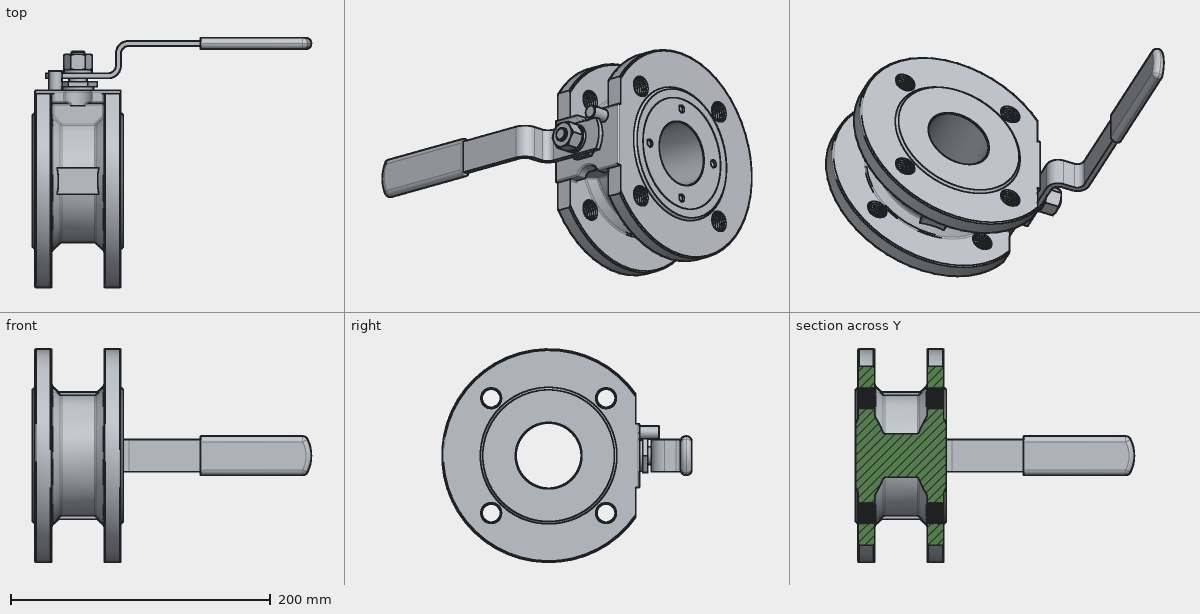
import cadquery as cq
import math


face_to_face = 70.0
flange_face_span = 66.2
flange_gap = 40.2
flange_dia = 164.5
flange_flat_y = 67.3
flange_edge_round = 1.0
seal_face_dia = 101.5
waist_dia = 95.0
cone_dia = 108.0
cone_foot_x = 13.3
root_round = 2.0
bore_dia = 50.0
bore_chamfer = 0.6

pick_margin = 0.2

insert_dia = 88.0
insert_step = 0.2
spanner_hole_dia = 6.0
spanner_hole_depth = 2.0
spanner_circle_dia = 72.0
spanner_hole_count = 4

bolt_circle_dia = 125.0
bolt_hole_count = 4
thread_minor_dia = 14.0
thread_major_dia = 16.0
thread_turns = 6

mount_top_y = 70.0
mount_width = 49.5
mount_thickness = 10.0
mount_round = 1.3
mount_root_round = 1.3
pedestal_width = 38.7
scallop_dia = 23.0
scallop_z = 29.7
scallop_depth = 12.3
plate_height = 20.6
plate_span = 98.2
plate_edge_round = 0.6
stop_pin_dia = 10.3
stop_pin_x = -17.5
stop_pin_z = 17.8
stop_pin_top_y = 85.1
stop_pin_chamfer = 0.5
gland_collar_dia = 24.0
gland_collar_top_y = 72.5
gland_nut_flats = 26.0
gland_nut_top_y = 76.5

stem_dia = 14.0
nut_collar_dia = 22.0
nut_collar_top_y = 85.5
nut_flats = 19.1
nut_top_y = 97.8
stem_tip_dia = 10.3
stem_tip_y = 100.0
stem_tip_chamfer = 0.9

strip_thickness = 4.0
strip_width = 25.0
strip_low_y = 81.0
strip_high_y = 106.0
strip_end_radius = 25.0
riser_x = 31.2
bend_radius = 8.0
grip_start_x = 94.4
grip_end_x = 180.0
grip_thickness = 8.8
grip_width = 30.3
grip_core_bulge = 2.5
grip_side_round = 4.38
grip_mouth_round = 0.6


def cylinder_y(diameter, y_start, y_end, x=0.0, z=0.0):
    """Cylinder along Y between two levels."""
    disc = cq.Workplane("XZ", origin=(x, y_start, z)).circle(diameter / 2)
    return disc.extrude(y_start - y_end)


def cylinder_x(diameter, x_start, x_end, y=0.0, z=0.0):
    """Cylinder along X between two positions."""
    disc = cq.Workplane("YZ", origin=(x_start, y, z)).circle(diameter / 2)
    return disc.extrude(x_end - x_start)


def block(x_size, y_start, y_end, z_size):
    """Block centred on X and Z, between two Y levels."""
    middle_y = (y_start + y_end) / 2
    return cq.Workplane("XY").box(x_size, y_end - y_start, z_size).translate((0, middle_y, 0))


def hex_y(flats, y_start, y_end):
    """Hexagonal prism along Y with corners on the X axis."""
    corner_dia = flats / math.cos(math.pi / 6)
    hexagon = cq.Workplane("XZ", origin=(0, y_start, 0)).polygon(6, corner_dia)
    return hexagon.extrude(y_start - y_end)


def chamfered_hex_y(flats, y_start, y_end):
    """Hexagonal nut whose corners are turned down at 30 degrees on both ends."""
    corner_radius = flats / 2 / math.cos(math.pi / 6)
    drop = (corner_radius - flats / 2) * math.tan(math.pi / 6)
    envelope = (
        cq.Workplane("XY")
        .polyline([
            (0, y_start),
            (flats / 2, y_start),
            (corner_radius, y_start + drop),
            (corner_radius, y_end - drop),
            (flats / 2, y_end),
            (0, y_end),
        ])
        .close()
        .revolve(360, (0, 0, 0), (0, 1, 0))
    )
    return hex_y(flats, y_start, y_end).intersect(envelope)


def make_flange(side):
    """Flange with a flat towards the lever; side is -1 or +1 along X."""
    inner_x = side * flange_gap / 2
    outer_x = side * flange_face_span / 2
    disc = cylinder_x(flange_dia, inner_x, outer_x)
    kept = block(flange_face_span, -flange_dia, flange_flat_y, flange_dia)
    return disc.intersect(kept).edges("%CIRCLE").fillet(flange_edge_round)


def make_waist():
    """Turned core: raised sealing faces, flange roots, cones and the slim waist."""
    end_x = face_to_face / 2
    flange_x = flange_face_span / 2
    seal_radius = seal_face_dia / 2
    seal_base_radius = seal_radius + end_x - flange_x
    half_profile = [
        (cone_foot_x, waist_dia / 2),
        (flange_gap / 2, cone_dia / 2),
        (flange_x, seal_base_radius),
        (end_x, seal_radius),
        (end_x, 0),
    ]
    mirrored = [(-x, r) for x, r in reversed(half_profile)]
    return (
        cq.Workplane("XY")
        .polyline(half_profile + mirrored)
        .close()
        .revolve(360, (0, 0, 0), (1, 0, 0))
    )


def make_mount():
    """Mounting pad for the lever on a narrower pedestal."""
    pad_bottom_y = mount_top_y - mount_thickness
    pad = block(flange_face_span, pad_bottom_y, mount_top_y, mount_width)
    pad = pad.edges(">Y").fillet(mount_round)
    pedestal = block(flange_gap, 0, pad_bottom_y, pedestal_width)
    return pad.union(pedestal)


def round_waist_roots(body):
    """Round the full circles where the cones meet the waist and the flanges."""
    x_reach = flange_gap / 2 + pick_margin
    near_axis = cq.selectors.BoxSelector(
        (-x_reach, -pick_margin, -pick_margin),
        (x_reach, pick_margin, pick_margin),
    )
    return body.edges("%CIRCLE").edges(near_axis).fillet(root_round)


def round_mount_roots(body):
    """Round the mount's foot, its underside and its corners with the flanges."""
    x_reach = flange_gap / 2 + pick_margin
    z_reach = mount_width / 2 + pick_margin
    between_flanges = cq.selectors.BoxSelector(
        (-x_reach, waist_dia / 2 - mount_thickness, -z_reach),
        (x_reach, flange_flat_y, z_reach),
    )
    return body.edges(between_flanges).fillet(mount_root_round)


def scallop(side):
    """Round clearance notch in the long edge of the mount; side is -1 or +1 along Z."""
    bottom_y = mount_top_y - scallop_depth
    return cylinder_y(scallop_dia, bottom_y, mount_top_y, 0, side * scallop_z)


def round_notch_rims(body):
    """Round the top rims of the clearance notches to match the mount's outer edge."""
    z_reach = mount_width / 2
    rims = cq.selectors.BoxSelector(
        (-scallop_dia / 2, mount_top_y - pick_margin, -z_reach),
        (scallop_dia / 2, mount_top_y + pick_margin, z_reach),
    )
    return body.edges(rims).fillet(mount_round)


def bolt_thread_cutter():
    """Threaded through hole along X as a stack of V grooves, spanning one flange."""
    length = (flange_face_span - flange_gap) / 2
    pitch = length / thread_turns
    minor_radius = thread_minor_dia / 2
    major_radius = thread_major_dia / 2
    profile = [(0, 0)]
    for turn in range(thread_turns):
        profile.append((turn * pitch, major_radius))
        profile.append(((turn + 0.5) * pitch, minor_radius))
    profile.append((length, major_radius))
    profile.append((length, 0))
    return cq.Workplane("XY").polyline(profile).close().revolve(360, (0, 0, 0), (1, 0, 0))


def bore_mouth(side):
    """Chamfer cone at one mouth of the bore; side is -1 or +1 along X."""
    bore_radius = bore_dia / 2
    mouth = cq.Vector(side * face_to_face / 2, 0, 0)
    inwards = cq.Vector(-side, 0, 0)
    return cq.Solid.makeCone(bore_radius + bore_chamfer, bore_radius, bore_chamfer, mouth, inwards)


def polar_points(count, circle_dia, first_angle):
    """(y, z) points equally spaced on a circle about the bore."""
    angles = [math.radians(first_angle + i * 360 / count) for i in range(count)]
    return [(circle_dia / 2 * math.cos(a), circle_dia / 2 * math.sin(a)) for a in angles]


def make_housing():
    body = make_waist().union(make_flange(-1)).union(make_flange(1))
    body = round_waist_roots(body)
    body = round_mount_roots(body.union(make_mount()))

    plates = block(flange_gap, -plate_height / 2, plate_height / 2, plate_span)
    body = body.union(plates.edges("|X").fillet(plate_edge_round))

    for side in (-1, 1):
        body = body.cut(scallop(side))
    body = round_notch_rims(body)

    body = body.cut(cylinder_x(bore_dia, -face_to_face / 2, face_to_face / 2))
    for side in (-1, 1):
        body = body.cut(bore_mouth(side))

    cutter = bolt_thread_cutter()
    for y, z in polar_points(bolt_hole_count, bolt_circle_dia, 45):
        for start_x in (-flange_face_span / 2, flange_gap / 2):
            body = body.cut(cutter.translate((start_x, y, z)))

    seal_x = -face_to_face / 2
    insert_x = seal_x + insert_step
    body = body.cut(cylinder_x(insert_dia, seal_x, insert_x))
    for y, z in polar_points(spanner_hole_count, spanner_circle_dia, 0):
        body = body.cut(cylinder_x(spanner_hole_dia, insert_x, insert_x + spanner_hole_depth, y, z))

    pin = cylinder_y(stop_pin_dia, mount_top_y, stop_pin_top_y, stop_pin_x, stop_pin_z)
    body = body.union(pin.faces(">Y").chamfer(stop_pin_chamfer))

    body = body.union(cylinder_y(gland_collar_dia, mount_top_y, gland_collar_top_y))
    return body.union(hex_y(gland_nut_flats, gland_collar_top_y, gland_nut_top_y))


def make_strip():
    """Bent flat strip, from its rounded end at the stem into the grip."""
    path = (
        cq.Workplane("XY")
        .moveTo(-strip_end_radius, strip_low_y)
        .lineTo(riser_x - bend_radius, strip_low_y)
        .tangentArcPoint((riser_x, strip_low_y + bend_radius), relative=False)
        .lineTo(riser_x, strip_high_y - bend_radius)
        .tangentArcPoint((riser_x + bend_radius, strip_high_y), relative=False)
        .lineTo(grip_start_x + grip_width / 2, strip_high_y)
    )
    strip = (
        cq.Workplane("YZ", origin=(-strip_end_radius, strip_low_y, 0))
        .rect(strip_thickness, strip_width)
        .sweep(path)
    )
    past_stem = block(2 * grip_end_x, 0, grip_end_x, grip_width).translate((grip_end_x, 0, 0))
    round_end = cylinder_y(2 * strip_end_radius, 0, stem_tip_y)
    return strip.intersect(past_stem.union(round_end))


def make_grip():
    """Flat grip sleeve: a thin core outline swept round by half the grip thickness."""
    edge_radius = grip_thickness / 2
    core_half_width = grip_width / 2 - edge_radius
    core_end_x = grip_end_x - edge_radius
    core_corner_x = core_end_x - grip_core_bulge
    grip = (
        cq.Workplane("XZ", origin=(0, strip_high_y - edge_radius, 0))
        .moveTo(grip_start_x, -core_half_width)
        .lineTo(core_corner_x, -core_half_width)
        .threePointArc((core_end_x, 0), (core_corner_x, core_half_width))
        .lineTo(grip_start_x, core_half_width)
        .close()
        .offset2D(edge_radius)
        .extrude(-grip_thickness)
        .faces("<Y or >Y")
        .edges()
        .fillet(grip_side_round)
    )
    before_mouth = cq.Workplane("XY").box(
        2 * grip_thickness, 2 * grip_thickness, 2 * grip_width, centered=(False, True, True)
    )
    grip = grip.cut(before_mouth.translate((grip_start_x - 2 * grip_thickness, strip_high_y, 0)))
    return grip.faces("<X").edges().fillet(grip_mouth_round)


def make_lever():
    lever = make_strip().union(make_grip())

    lever = lever.union(cylinder_y(stem_dia, gland_nut_top_y, strip_low_y))

    nut_base_y = strip_low_y + strip_thickness / 2
    lever = lever.union(cylinder_y(nut_collar_dia, nut_base_y, nut_collar_top_y))
    lever = lever.union(chamfered_hex_y(nut_flats, nut_collar_top_y, nut_top_y))
    tip = cylinder_y(stem_tip_dia, nut_collar_top_y, stem_tip_y)
    return lever.union(tip.faces(">Y").chamfer(stem_tip_chamfer))


housing = make_housing()
lever = make_lever()
result = cq.Compound.makeCompound([housing.val(), lever.val()])